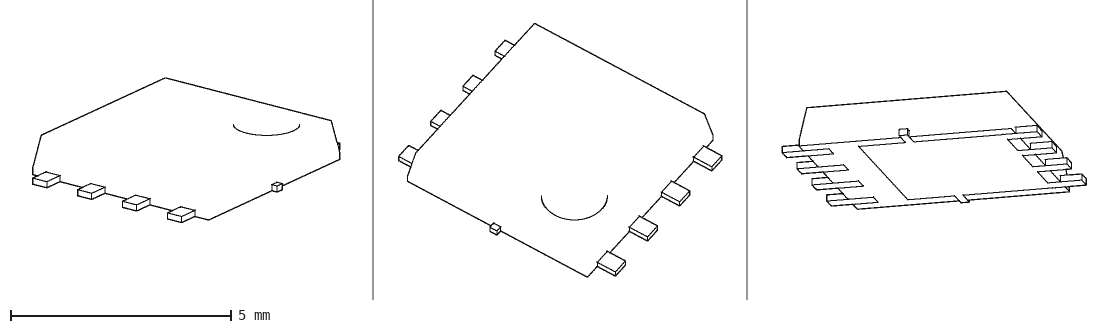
import cadquery as cq

lead_span = 6.0
tab_span = 5.3
housing_side = 5.0
height = 0.95

base_height = 0.15
draft_angle = 10.0
edge_radius = 0.03

mark_offset = 1.3
mark_diameter = 1.5
mark_depth = 0.1
mark_radius = 0.03

frame_thickness = base_height
lead_width = 0.4
lead_pitch = 1.27
lead_count = 4
lead_embed = 0.6
tab_width = 0.2
pad_width = 4.2
pad_inset = 0.3
pad_end_y = 1.2

lead_positions = [(i - (lead_count - 1) / 2) * lead_pitch for i in range(lead_count)]


def frame_bar(x_min, x_max, y_min, y_max):
    """Flat bar of lead-frame thickness resting on Z = 0."""
    return (
        cq.Workplane("XY")
        .box(x_max - x_min, y_max - y_min, frame_thickness, centered=False)
        .translate((x_min, y_min, 0))
    )


def make_lead(x):
    """Separate lead leaving the +Y side of the housing."""
    return frame_bar(
        x - lead_width / 2, x + lead_width / 2, housing_side / 2 - lead_embed, lead_span / 2
    )


def make_drain_frame():
    """Pad with its four leads on the -Y side and a tie bar reaching out at both X sides."""
    pad_start_y = pad_inset - housing_side / 2
    frame = frame_bar(-pad_width / 2, pad_width / 2, pad_start_y, pad_end_y)
    for x in lead_positions:
        frame = frame.union(
            frame_bar(x - lead_width / 2, x + lead_width / 2, -lead_span / 2, pad_start_y)
        )
    tie_bar = frame_bar(-tab_span / 2, tab_span / 2, -tab_width / 2, tab_width / 2)
    return frame.union(tie_bar).clean()


def make_drafted_block():
    """Square block with an upright base band, leaning sides above it and rounded edges."""
    base = cq.Workplane("XY").rect(housing_side, housing_side).extrude(base_height)
    upper = (
        cq.Workplane("XY", origin=(0, 0, base_height))
        .rect(housing_side, housing_side)
        .extrude(height - base_height, taper=draft_angle)
    )
    return base.union(upper).edges("(not (#Z)) or >Z").fillet(edge_radius)


def cut_mark(block):
    """Sink the round pin-one mark into the top face."""
    block = (
        block.faces(">Z")
        .workplane(origin=(mark_offset, mark_offset, height))
        .hole(mark_diameter, mark_depth)
    )
    near = mark_offset - mark_diameter / 2
    far = mark_offset + mark_diameter / 2
    around_mark = cq.selectors.BoxSelector((near, near, 0), (far, far, height + mark_depth))
    return block.edges("%CIRCLE").edges(around_mark).fillet(mark_radius)


def make_housing(frame_parts):
    """Moulded block with the pin-one mark, recessed for the lead-frame parts."""
    block = cut_mark(make_drafted_block())
    for part in frame_parts:
        block = block.cut(part)
    return block


leads = [make_lead(x) for x in lead_positions]
drain_frame = make_drain_frame()
housing = make_housing(leads + [drain_frame])

result = cq.Compound.makeCompound(
    [housing.val(), drain_frame.val(), *[lead.val() for lead in leads]]
)